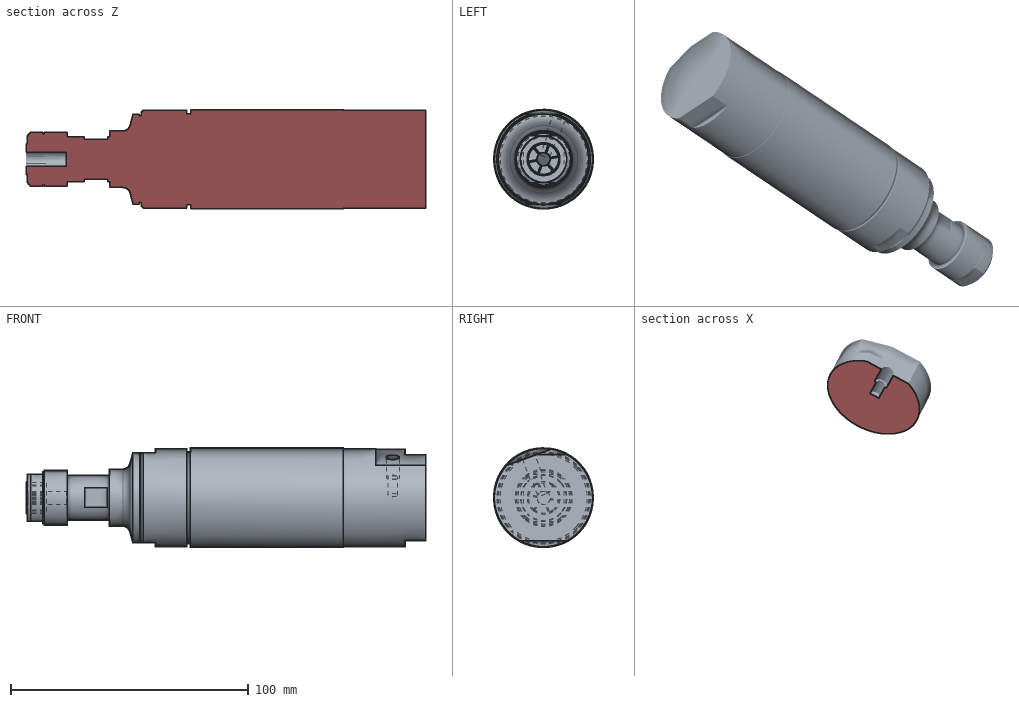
import cadquery as cq
import math

length = 168.5

nut_diameter = 23.0
nut_face_x = 0.3
nut_face_diameter = 19.5
nut_chamfer_end = 1.9
nut_flat_spacing = 19.9
nut_flat_end = 7.0
nut_groove_end = 7.5
nut_groove_diameter = 21.9
nut_end = 17.3

collet_diameter = 13.8
collet_face_diameter = 12.8
collet_bore_diameter = 5.5
collet_bore_depth = 16.8
slot_count = 6
slot_width = 0.5
slot_depth = 8.5
slot_start_angle = -10.0

shaft_diameter = 19.0
shaft_end = 35.0
shaft_flat_spacing = 17.2
shaft_flat_start = 24.6
shaft_flat_end = 34.2

collar_diameter = 24.0
collar_end = 40.8
flare_radius = 3.0
cone_angle = 15.0

flange_diameter = 38.0
flange_end = 47.8
cap_start = 48.3
flange_groove_diameter = 36.7
cap_diameter = 41.5
cap_chamfer = 1.0
cap_flat_spacing = 37.9
cap_flat_end = 54.4
cap_end = 67.7

cap_groove_diameter = 38.7
body_start = 69.2
body_diameter = 42.0
body_end = 133.7

rear_diameter = 41.5
rear_flat_spacing = 36.2
rear_flat_start = 159.7
port_flat_start = 147.4
port_flat_tilt = 20.0
port_x = 154.5
port_diameter = 5.5
port_depth = 9.0
port_inner_diameter = 4.0
port_inner_depth = 16.8


def turned_body():
    """Solid of revolution for the complete outer shape."""
    steep = math.radians(90 - cone_angle)
    collar_radius = collar_diameter / 2
    flange_radius = flange_diameter / 2

    def flare_point(angle):
        return (
            collar_end + flare_radius * math.sin(angle),
            collar_radius + flare_radius * (1 - math.cos(angle)),
        )

    cone_start = flare_point(steep)
    cone_end_x = cone_start[0] + (flange_radius - cone_start[1]) / math.tan(steep)
    cap_radius = cap_diameter / 2
    profile = (
        cq.Workplane("XY")
        .moveTo(0, 0)
        .lineTo(0, collet_face_diameter / 2)
        .lineTo(nut_face_x, collet_diameter / 2)
        .lineTo(nut_face_x, nut_face_diameter / 2)
        .lineTo(nut_chamfer_end, nut_diameter / 2)
        .lineTo(nut_flat_end, nut_diameter / 2)
        .lineTo(nut_flat_end, nut_groove_diameter / 2)
        .lineTo(nut_groove_end, nut_groove_diameter / 2)
        .lineTo(nut_groove_end, nut_diameter / 2)
        .lineTo(nut_end, nut_diameter / 2)
        .lineTo(nut_end, shaft_diameter / 2)
        .lineTo(shaft_end, shaft_diameter / 2)
        .lineTo(shaft_end, collar_radius)
        .lineTo(collar_end, collar_radius)
        .threePointArc(flare_point(steep / 2), cone_start)
        .lineTo(cone_end_x, flange_radius)
        .lineTo(flange_end, flange_radius)
        .lineTo(flange_end, flange_groove_diameter / 2)
        .lineTo(cap_start, flange_groove_diameter / 2)
        .lineTo(cap_start, cap_radius - cap_chamfer)
        .lineTo(cap_start + cap_chamfer, cap_radius)
        .lineTo(cap_end, cap_radius)
        .lineTo(cap_end, cap_groove_diameter / 2)
        .lineTo(body_start, cap_groove_diameter / 2)
        .lineTo(body_start, body_diameter / 2)
        .lineTo(body_end, body_diameter / 2)
        .lineTo(body_end, rear_diameter / 2)
        .lineTo(length, rear_diameter / 2)
        .lineTo(length, 0)
        .close()
    )
    return profile.revolve(360, (0, 0, 0), (1, 0, 0))


def flat_cutter(start, end, spacing, turn):
    """Block over one flat; it faces +Z and is then turned about X."""
    side = body_diameter
    return (
        cq.Workplane("XY")
        .box(end - start, side, side, centered=(False, True, False))
        .translate((start, 0, spacing / 2))
        .rotate((0, 0, 0), (1, 0, 0), turn)
    )


def cut_flat_pair(solid, start, end, spacing, turn):
    for angle in (turn, turn + 180):
        solid = solid.cut(flat_cutter(start, end, spacing, angle))
    return solid


def cut_collet(solid):
    """Blind bore of the collet and the radial slots around it."""
    bore = cq.Workplane("YZ").circle(collet_bore_diameter / 2).extrude(collet_bore_depth)
    solid = solid.cut(bore)
    for index in range(slot_count):
        slot = (
            cq.Workplane("XY")
            .box(slot_depth, collet_diameter / 2, slot_width, centered=(False, False, True))
            .rotate((0, 0, 0), (1, 0, 0), slot_start_angle + index * 360 / slot_count)
        )
        solid = solid.cut(slot)
    return solid


def port_cutter():
    """Stepped hole square to the port flat."""
    outer = cq.Workplane("XY").circle(port_diameter / 2).extrude(-port_depth)
    inner = cq.Workplane("XY").circle(port_inner_diameter / 2).extrude(-port_inner_depth)
    return (
        outer.union(inner)
        .translate((port_x, 0, rear_flat_spacing / 2))
        .rotate((0, 0, 0), (1, 0, 0), port_flat_tilt)
    )


result = turned_body()
result = cut_flat_pair(result, 0, nut_flat_end, nut_flat_spacing, 0)
result = cut_flat_pair(result, shaft_flat_start, shaft_flat_end, shaft_flat_spacing, 90)
result = cut_flat_pair(result, cap_start, cap_flat_end, cap_flat_spacing, 0)
result = cut_flat_pair(result, rear_flat_start, length, rear_flat_spacing, 0)
result = result.cut(flat_cutter(port_flat_start, length, rear_flat_spacing, port_flat_tilt))
result = result.cut(port_cutter())
result = cut_collet(result)